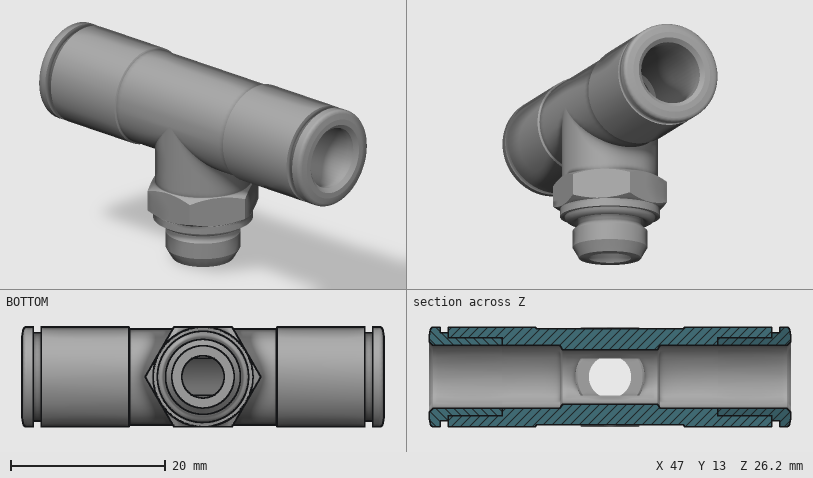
import cadquery as cq
import math


BODY_DIA = 13.0
TUBE_PASSAGE_DIA = 8.1
COLLET_END_X = 23.5
FLANGE_WIDTH = 1.5
NECK_LENGTH = 1.0

RUN_DIA = 12.5
SLEEVE_DIA = BODY_DIA
SLEEVE_START_X = 9.66
SLEEVE_END_X = COLLET_END_X - FLANGE_WIDTH - NECK_LENGTH
SHOULDER_ANGLE = 30.0
BORE_DIA = 7.0
TUBE_SOCKET_DIA = TUBE_PASSAGE_DIA
TUBE_STOP_X = 6.5
TUBE_STOP_ANGLE = 30.0

FLANGE_DIA = BODY_DIA
FLANGE_BACK_X = COLLET_END_X - FLANGE_WIDTH
FLANGE_FILLET = 0.5
FACE_LAND_DIA = 10.6
FACE_SLOPE = 10.5
NECK_DIA = 11.5
STEM_DIA = 10.1
STEM_END_X = 14.0
COLLET_BORE_DIA = TUBE_PASSAGE_DIA
MOUTH_DIA = 9.15

HEX_FLATS = BODY_DIA
HEX_TOP_Z = -9.2
HEX_HEIGHT = 4.0
HEX_BOTTOM_Z = HEX_TOP_Z - HEX_HEIGHT
HEX_FACE_DIA = 12.8
HEX_CHAMFER_ANGLE = 30.0
COLLAR_DIA = BODY_DIA
COLLAR_HEIGHT = 1.0
COLLAR_BOTTOM_Z = HEX_BOTTOM_Z - COLLAR_HEIGHT
GROOVE_DIA = 8.3
GROOVE_BOTTOM_Z = -15.42
THREAD_DIA = 9.73
THREAD_END_DIA = 8.1
THREAD_END_ANGLE = 30.0
STUD_BOTTOM_Z = -19.7
SPIGOT_DIA = 9.0
SPIGOT_TOP_Z = -2.55
SPIGOT_CHAMFER = 0.25
STUD_BORE_DIA = 5.5

RING_SECTION_DIA = 1.78
RING_BOTTOM_Z = -14.97

SIDES = (-1, 1)


def rise(radial_change, angle):
    """Axial length of a cone whose surface leans `angle` degrees out of a flat face."""
    return radial_change * math.tan(math.radians(angle))


def cylinder_along_x(diameter, start_x, end_x):
    return cq.Workplane("YZ", origin=(start_x, 0, 0)).circle(diameter / 2).extrude(end_x - start_x)


def cylinder_along_z(diameter, bottom_z, top_z):
    return cq.Workplane("XY", origin=(0, 0, bottom_z)).circle(diameter / 2).extrude(top_z - bottom_z)


def revolve_about_x(points):
    """Revolve an outline of (x, radius) points around the run axis."""
    return cq.Workplane("XY").polyline(points).close().revolve(360, (0, 0, 0), (1, 0, 0))


def revolve_about_z(points):
    """Revolve an outline of (radius, z) points around the branch axis."""
    return cq.Workplane("XZ").polyline(points).close().revolve(360, (0, 0, 0), (0, 1, 0))


def on_side(shape, side):
    """Leave a +X shape in place, or mirror it to the -X end."""
    return shape if side > 0 else shape.mirror("YZ")


def make_sleeve():
    """Enlarged tube end, joined to the run by a steep conical shoulder."""
    shoulder_foot_x = SLEEVE_START_X - rise((SLEEVE_DIA - RUN_DIA) / 2, SHOULDER_ANGLE)
    return revolve_about_x([
        (shoulder_foot_x, 0),
        (shoulder_foot_x, RUN_DIA / 2),
        (SLEEVE_START_X, SLEEVE_DIA / 2),
        (SLEEVE_END_X, SLEEVE_DIA / 2),
        (SLEEVE_END_X, 0),
    ])


def make_socket():
    """Void of one tube end: the collet seats, the tube socket and its conical stop."""
    cone_start_x = TUBE_STOP_X - rise((TUBE_SOCKET_DIA - BORE_DIA) / 2, TUBE_STOP_ANGLE)
    return revolve_about_x([
        (cone_start_x, 0),
        (cone_start_x, BORE_DIA / 2),
        (TUBE_STOP_X, TUBE_SOCKET_DIA / 2),
        (STEM_END_X, TUBE_SOCKET_DIA / 2),
        (STEM_END_X, STEM_DIA / 2),
        (SLEEVE_END_X, STEM_DIA / 2),
        (SLEEVE_END_X, 0),
    ])


def make_tee():
    """Run and branch of equal diameter, sleeves, through bore, tube sockets and the spigot seat."""
    tee = cylinder_along_x(RUN_DIA, -SLEEVE_START_X, SLEEVE_START_X)
    tee = tee.union(cylinder_along_z(RUN_DIA, HEX_TOP_Z, 0))
    for side in SIDES:
        tee = tee.union(on_side(make_sleeve(), side))
    tee = tee.cut(cylinder_along_x(BORE_DIA, -SLEEVE_END_X, SLEEVE_END_X))
    for side in SIDES:
        tee = tee.cut(on_side(make_socket(), side))
    return tee.cut(cylinder_along_z(SPIGOT_DIA, HEX_TOP_Z, SPIGOT_TOP_Z))


def make_collet(side):
    """Release collar: flange with a shallow conical face and rounded rim, neck, and stem in the sleeve."""
    flange_rim_x = COLLET_END_X - rise((FLANGE_DIA - FACE_LAND_DIA) / 2, FACE_SLOPE)
    mouth_depth = (MOUTH_DIA - COLLET_BORE_DIA) / 2
    collet = revolve_about_x([
        (STEM_END_X, COLLET_BORE_DIA / 2),
        (STEM_END_X, STEM_DIA / 2),
        (SLEEVE_END_X, STEM_DIA / 2),
        (SLEEVE_END_X, NECK_DIA / 2),
        (FLANGE_BACK_X, NECK_DIA / 2),
        (FLANGE_BACK_X, FLANGE_DIA / 2),
        (flange_rim_x, FLANGE_DIA / 2),
        (COLLET_END_X, FACE_LAND_DIA / 2),
        (COLLET_END_X, MOUTH_DIA / 2),
        (COLLET_END_X - mouth_depth, COLLET_BORE_DIA / 2),
    ])
    widest_edges = cq.selectors.RadiusNthSelector(-1)
    flange_rim = collet.edges("%CIRCLE").edges(widest_edges).edges(">X")
    return on_side(flange_rim.fillet(FLANGE_FILLET), side)


def make_hexagon():
    """Hexagon with flats facing +Y and -Y and corners chamfered at both ends."""
    corner_dia = HEX_FLATS / math.cos(math.pi / 6)
    corner_drop = rise((corner_dia - HEX_FACE_DIA) / 2, HEX_CHAMFER_ANGLE)
    hexagon = cq.Workplane("XY", origin=(0, 0, HEX_BOTTOM_Z)).polygon(6, corner_dia).extrude(HEX_HEIGHT)
    chamfer_envelope = revolve_about_z([
        (0, HEX_BOTTOM_Z),
        (HEX_FACE_DIA / 2, HEX_BOTTOM_Z),
        (corner_dia / 2, HEX_BOTTOM_Z + corner_drop),
        (corner_dia / 2, HEX_TOP_Z - corner_drop),
        (HEX_FACE_DIA / 2, HEX_TOP_Z),
        (0, HEX_TOP_Z),
    ])
    return hexagon.intersect(chamfer_envelope)


def make_ring():
    """Round-section sealing ring around the groove above the thread."""
    section_radius = RING_SECTION_DIA / 2
    mean_radius = GROOVE_DIA / 2 + section_radius
    return (
        cq.Workplane("XZ")
        .center(mean_radius, RING_BOTTOM_Z + section_radius)
        .circle(section_radius)
        .revolve(360, (-mean_radius, 0, 0), (-mean_radius, 1, 0))
    )


def make_stud(ring):
    """Spigot, hexagon, collar, undercut and threaded end, bored through lengthwise."""
    thread_top_z = GROOVE_BOTTOM_Z - (THREAD_DIA - GROOVE_DIA) / 2
    end_chamfer_radial = (THREAD_DIA - THREAD_END_DIA) / 2
    end_chamfer_height = end_chamfer_radial / math.tan(math.radians(THREAD_END_ANGLE))
    turned_part = revolve_about_z([
        (0, STUD_BOTTOM_Z),
        (THREAD_END_DIA / 2, STUD_BOTTOM_Z),
        (THREAD_DIA / 2, STUD_BOTTOM_Z + end_chamfer_height),
        (THREAD_DIA / 2, thread_top_z),
        (GROOVE_DIA / 2, GROOVE_BOTTOM_Z),
        (GROOVE_DIA / 2, COLLAR_BOTTOM_Z),
        (COLLAR_DIA / 2, COLLAR_BOTTOM_Z),
        (COLLAR_DIA / 2, HEX_BOTTOM_Z),
        (0, HEX_BOTTOM_Z),
    ])
    spigot = cylinder_along_z(SPIGOT_DIA, HEX_TOP_Z, SPIGOT_TOP_Z).faces(">Z").chamfer(SPIGOT_CHAMFER)
    stud = turned_part.union(make_hexagon()).union(spigot)
    stud = stud.cut(cylinder_along_z(STUD_BORE_DIA, STUD_BOTTOM_Z, SPIGOT_TOP_Z))
    return stud.cut(ring)


tee = make_tee()
ring = make_ring()
stud = make_stud(ring)
collets = [make_collet(side) for side in SIDES]

result = cq.Compound.makeCompound([
    tee.val(),
    stud.val(),
    ring.val(),
    *[collet.val() for collet in collets],
])